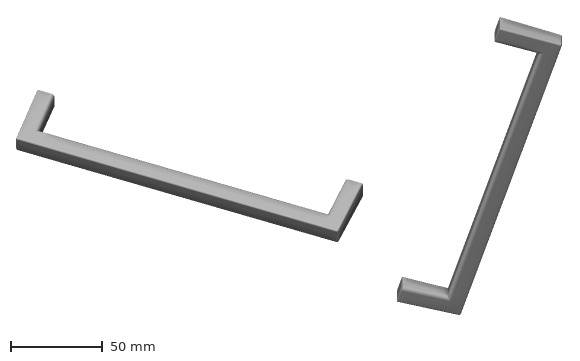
import cadquery as cq

length = 190.0
depth = 36.0
height = 12.0

front_height = 10.0
bar_depth = 10.3
foot_width = 10.0
side_lean = 1.0
outer_radius = 1.0
inner_radius = 2.0

half_length = length / 2
back_y = depth / 2
front_y = -depth / 2
bar_back_y = front_y + bar_depth


def outer_x(y):
    """Half width of the handle's outer sides at a given y."""
    return half_length - side_lean * (back_y - y) / depth


def inner_x(y):
    """Half width of the opening between the feet at a given y."""
    return outer_x(y) - foot_width


def make_body():
    """U-shaped outline, thinning in height from the feet to the front."""
    right_side = [
        (outer_x(front_y), front_y),
        (outer_x(back_y), back_y),
        (inner_x(back_y), back_y),
        (inner_x(bar_back_y), bar_back_y),
    ]
    left_side = [(-x, y) for x, y in reversed(right_side)]
    outline = cq.Workplane("XY").polyline(right_side + left_side).close()
    outline = outline.extrude(height / 2, both=True)
    wedge = (
        cq.Workplane("YZ")
        .polyline([
            (front_y, -front_height / 2),
            (back_y, -height / 2),
            (back_y, height / 2),
            (front_y, front_height / 2),
        ])
        .close()
        .extrude(half_length, both=True)
    )
    return outline.intersect(wedge)


def long_edges(body, inside):
    """Edges around the inside or the outside of the U, leaving the back ends sharp."""
    inside_limit = inner_x(back_y) + foot_width / 2
    inside_front = front_y + bar_depth / 2

    def wanted(edge):
        center = edge.Center()
        if center.y > back_y - outer_radius:
            return False
        is_inside = abs(center.x) < inside_limit and center.y > inside_front
        is_vertical = abs(center.z) < outer_radius
        if inside:
            return is_inside and not is_vertical
        return not is_inside

    return body.newObject([edge for edge in body.edges().vals() if wanted(edge)])


body = make_body()
body = long_edges(body, inside=False).fillet(outer_radius)
result = long_edges(body, inside=True).fillet(inner_radius)